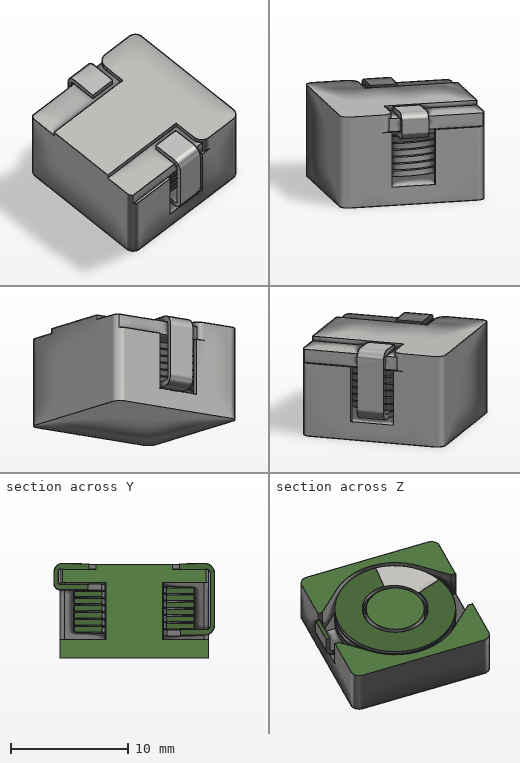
import cadquery as cq
import math

housing_size = 12.73
housing_height = 8.02
corner_radius = 0.75
half_housing = housing_size / 2

shelf_height = 7.6
ledge_height = 6.45
side_step_depth = 0.22
recess_inner_x = 3.28
recess_back_y = 1.81
recess_radius = 0.95

chamber_floor = 1.62
chamber_radius = 5.49
post_radius = 2.5
window_half_width = 1.92
window_jamb_x = 5.95
flare_angle = math.radians(45)
flare_x = chamber_radius * math.cos(flare_angle)
flare_y = chamber_radius * math.sin(flare_angle)

wire_width = 2.38
wire_thickness = 0.5
coil_outer_radius = 5.18
coil_inner_radius = coil_outer_radius - wire_width
coil_middle_radius = (coil_outer_radius + coil_inner_radius) / 2
coil_pitch = 0.6
coil_turns = 6.5
coil_bottom = 1.91
lead_fillet = 0.66

terminal_outer_x = 6.86
terminal_inner_x = 6.48
terminal_end_x = 3.86
terminal_top = 8.11
taper_start_x = 5.89
terminal_end_drop = 0.05
upper_lead_bottom = coil_bottom + coil_pitch * coil_turns
lower_lead_bottom = 1.96
left_top_bend = 0.75
left_lead_bend = 0.55
left_inner_bend = 0.12
right_bend = 0.88
right_inner_bend = 0.33
join_tolerance = 0.001


def recess_cut(side, bottom):
    """Volume open to the top, front and one side, with a rounded back corner at the wall."""
    outside = half_housing + corner_radius
    tangent_y = recess_back_y + recess_radius
    return (
        cq.Workplane("XY", origin=(0, 0, bottom))
        .moveTo(side * recess_inner_x, -outside)
        .lineTo(side * recess_inner_x, recess_back_y)
        .lineTo(side * (half_housing - recess_radius), recess_back_y)
        .radiusArc((side * half_housing, tangent_y), -side * recess_radius)
        .lineTo(side * outside, tangent_y)
        .lineTo(side * outside, -outside)
        .close()
        .extrude(housing_height)
    )


def side_step_cut(side):
    """Shallow strip of the recess outline, set in from the side wall."""
    strip_width = side_step_depth + corner_radius
    strip = cq.Workplane("XY").box(strip_width, 2 * housing_size, 2 * housing_height)
    strip = strip.translate((side * (half_housing - side_step_depth + strip_width / 2), 0, 0))
    return recess_cut(side, ledge_height).intersect(strip)


def chamber_cut():
    """Round chamber with flared windows to both sides, around a central post."""
    height = ledge_height - chamber_floor
    floor = cq.Workplane("XY", origin=(0, 0, chamber_floor))
    chamber = floor.circle(chamber_radius).extrude(height)
    chamber = chamber.union(floor.rect(housing_size, 2 * window_half_width).extrude(height))
    for side in (-1, 1):
        flare = floor.polyline([
            (side * window_jamb_x, -window_half_width),
            (side * window_jamb_x, window_half_width),
            (side * flare_x, flare_y),
            (side * flare_x, -flare_y),
        ]).close().extrude(height)
        chamber = chamber.union(flare)
    return chamber.cut(floor.circle(post_radius).extrude(height))


def make_housing():
    housing = (
        cq.Workplane("XY")
        .rect(housing_size, housing_size)
        .extrude(housing_height)
        .edges("|Z")
        .fillet(corner_radius)
    )
    for side in (-1, 1):
        housing = housing.cut(recess_cut(side, shelf_height))
        housing = housing.cut(side_step_cut(side))
    return housing.cut(chamber_cut())


def make_helix():
    """Edge-wound flat wire, rising counterclockwise from the +X side to the -X side."""
    path = cq.Wire.makeHelix(coil_pitch, coil_pitch * coil_turns, coil_middle_radius)
    helix = (
        cq.Workplane("XZ", origin=(coil_middle_radius, 0, 0))
        .rect(wire_width, wire_thickness)
        .sweep(cq.Workplane(obj=path), isFrenet=True)
    )
    return helix.translate((0, 0, coil_bottom + wire_thickness / 2))


def make_terminal(side, lead_bottom, top_bend, lead_bend, inner_bend):
    """Lead from the middle of the wire, up the wall and over onto the shelf."""
    lead_top = lead_bottom + wire_thickness
    outer_x = terminal_outer_x
    inner_x = terminal_inner_x
    terminal = (
        cq.Workplane("XZ")
        .moveTo(0, lead_bottom)
        .lineTo(outer_x - lead_bend, lead_bottom)
        .radiusArc((outer_x, lead_bottom + lead_bend), -lead_bend)
        .lineTo(outer_x, terminal_top - top_bend)
        .radiusArc((outer_x - top_bend, terminal_top), -top_bend)
        .lineTo(taper_start_x, terminal_top)
        .lineTo(terminal_end_x, terminal_top - terminal_end_drop)
        .lineTo(terminal_end_x, shelf_height)
        .lineTo(inner_x - inner_bend, shelf_height)
        .radiusArc((inner_x, shelf_height - inner_bend), inner_bend)
        .lineTo(inner_x, lead_top + inner_bend)
        .radiusArc((inner_x - inner_bend, lead_top), inner_bend)
        .lineTo(0, lead_top)
        .close()
        .extrude(wire_width / 2, both=True)
    )
    inside_winding = cq.Workplane("XY").circle(coil_middle_radius).extrude(shelf_height)
    terminal = terminal.cut(inside_winding).union(make_lead_gusset(lead_bottom))
    if side < 0:
        terminal = terminal.mirror("YZ")
    return terminal


def make_lead_gusset(lead_bottom):
    """Concave rounded corner between the +Y edge of a lead and the outside of the winding."""
    lead_edge_y = wire_width / 2
    centre_y = lead_edge_y + lead_fillet
    centre_x = math.sqrt((coil_outer_radius + lead_fillet) ** 2 - centre_y ** 2)
    to_coil = coil_outer_radius / (coil_outer_radius + lead_fillet)
    coil_point = (centre_x * to_coil, centre_y * to_coil)
    root_x = coil_outer_radius - lead_fillet
    return (
        cq.Workplane("XY", origin=(0, 0, lead_bottom))
        .moveTo(root_x, lead_edge_y)
        .lineTo(centre_x, lead_edge_y)
        .radiusArc(coil_point, lead_fillet)
        .close()
        .extrude(wire_thickness)
    )


def make_winding():
    left = make_terminal(-1, upper_lead_bottom, left_top_bend, left_lead_bend, left_inner_bend)
    right = make_terminal(1, lower_lead_bottom, right_bend, right_bend, right_inner_bend)
    return make_helix().union(left, tol=join_tolerance).union(right, tol=join_tolerance)


housing = make_housing()
winding = make_winding()
result = cq.Compound.makeCompound([housing.val(), winding.val()])